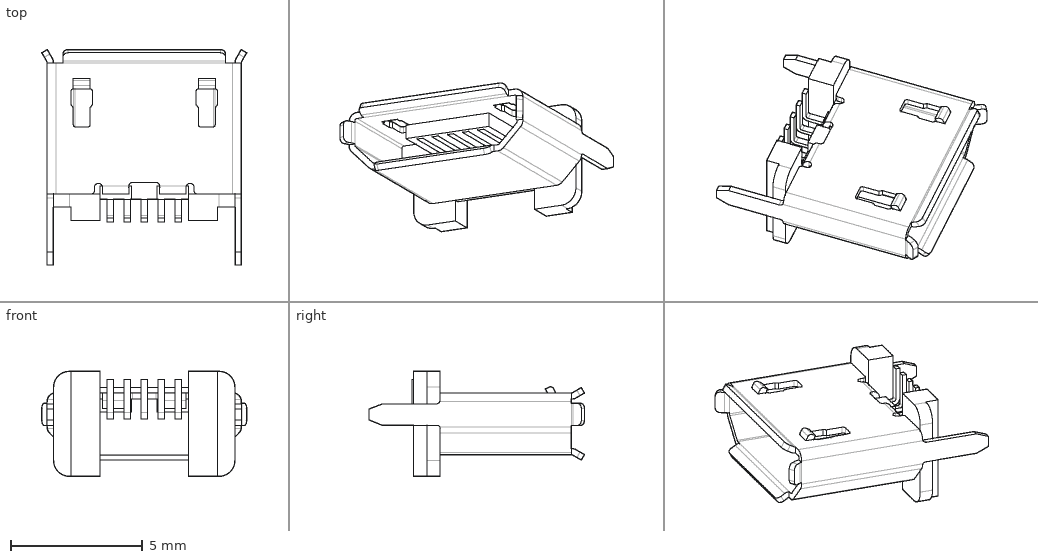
import cadquery as cq
import math


OVERALL_LENGTH = 8.2

WALL = 0.25
SHELL_HALF_WIDTH = 3.7
SHELL_LENGTH = 4.985
SHELL_TOP = 1.18
SHELL_BOTTOM = -1.18
SLOPE_START = -0.255
BEND_OUTER = 0.34
BEND_INNER = BEND_OUTER - WALL
INNER_TOP = SHELL_TOP - WALL
INNER_HALF_WIDTH = SHELL_HALF_WIDTH - WALL

LIP_ANGLE = math.radians(30)
LIP_BEND = 0.12
LIP_RUN = 0.37
LIP_REACH = (LIP_BEND + WALL) * math.sin(LIP_ANGLE) + LIP_RUN * math.cos(LIP_ANGLE)
LIP_CORNER = 0.2
TOP_LIP_WIDTH = 6.18
BOTTOM_LIP_WIDTH = 4.92
SIDE_LIP_WIDTH = 0.85
SIDE_LIP_HEIGHT = 0.36

LEG_END = SHELL_LENGTH + LIP_REACH - OVERALL_LENGTH
LEG_TAPER_START = -2.21
LEG_TOP = 0.755
LEG_BOTTOM = -0.06
LEG_TIP_TOP = 0.565
LEG_TIP_BOTTOM = 0.15
LEG_FILLET_TOP = 0.16
LEG_FILLET_BOTTOM = 0.115

WINDOW_CENTER = 2.38
WINDOW_WIDTH = 0.65
WINDOW_WIDE_WIDTH = 0.8
WINDOW_REAR = 2.54
WINDOW_STEP_REAR = 3.28
WINDOW_STEP_FRONT = 3.39
WINDOW_FRONT = 3.985
WINDOW_CORNER = 0.1
WINDOW_STEP_CORNER = 0.065
SPRING_ROOT = 4.395
SPRING_RISE = (4.305, 1.35)
SPRING_CREST = (4.215, 1.41)
SPRING_FALL = (4.12, 1.385)
SPRING_TIP = (3.99, 1.33)
SPRING_HEEL = (4.07, 1.18)
SPRING_FOOT_Y = 4.18

NOTCH_HALF_WIDTH = 0.58
NOTCH_DEPTH = 0.435
NOTCH_CORNER = 0.13
TAB_OUTER = 1.59
TAB_BEND = 0.295
TAB_END = 0.57
RELIEF_WIDTH = 0.3
RELIEF_DEPTH = 0.4
RELIEF_FLARE = 0.115

EAR_HALF_HEIGHT = 2.0
EAR_DEPTH = 0.51
EAR_CORNER = 0.61
POST_INNER = 1.68
POST_OUTER = 2.79
POST_DEPTH = 1.02
REAR_FACE = -0.21
BLOCK_FRONT = 1.0
POCKET_INNER = 0.48
POCKET_FLOOR = 0.44
TONGUE_HALF_WIDTH = 1.76
TONGUE_FRONT = 4.02
TONGUE_TOP = 0.71

PIN_COUNT = 5
PIN_PITCH = 0.65
PIN_WIDTH = 0.255
PIN_THICKNESS = 0.16
PIN_BEND_INNER = 0.08
PIN_BOTTOM = 0.18
PIN_TOP = 1.69
PIN_REAR = -1.075
PIN_FRONT = 3.77


def box(x_min, x_max, y_min, y_max, z_min, z_max):
    """Box given by its limits along each axis."""
    size = (x_max - x_min, y_max - y_min, z_max - z_min)
    return cq.Workplane().box(*size, centered=False).translate((x_min, y_min, z_min))


def both_sides(body):
    """The body together with its mirror image in X."""
    return body.union(body.mirror("YZ"))


def d_prism(inset, corner, y_min, y_max):
    """Prism with the D-shaped connector section, moved inward by the inset."""
    foot = SHELL_HALF_WIDTH - (SLOPE_START - SHELL_BOTTOM)
    points = [
        (-SHELL_HALF_WIDTH, SHELL_TOP),
        (SHELL_HALF_WIDTH, SHELL_TOP),
        (SHELL_HALF_WIDTH, SLOPE_START),
        (foot, SHELL_BOTTOM),
        (-foot, SHELL_BOTTOM),
        (-SHELL_HALF_WIDTH, SLOPE_START),
    ]
    outline = cq.Workplane("XZ", origin=(0, y_max, 0)).polyline(points).close()
    if inset:
        outline = outline.offset2D(-inset, "intersection")
    return outline.extrude(y_max - y_min).edges("|Y").fillet(corner)


def shell_tube(y_min, y_max):
    """Length of D-shaped tube."""
    return d_prism(0, BEND_OUTER, y_min, y_max).cut(d_prism(WALL, BEND_INNER, y_min, y_max))


def lip(width, turn, x, z):
    """Flared lip whose outer face starts at (x, z), turned about Y from the upward pose."""
    run_y = LIP_RUN * math.cos(LIP_ANGLE)
    run_z = LIP_RUN * math.sin(LIP_ANGLE)
    thick_y = WALL * math.sin(LIP_ANGLE)
    thick_z = WALL * math.cos(LIP_ANGLE)
    bend_y = LIP_BEND * math.sin(LIP_ANGLE)
    bend_z = LIP_BEND * (1 - math.cos(LIP_ANGLE))
    plate = (
        cq.Workplane("YZ", origin=(-width / 2, 0, 0))
        .radiusArc((bend_y, bend_z), -LIP_BEND)
        .line(run_y, run_z)
        .line(thick_y, -thick_z)
        .line(-run_y, -run_z)
        .radiusArc((0, -WALL), LIP_BEND + WALL)
        .close()
        .extrude(width)
    )
    tip_edges = cq.selectors.ParallelDirSelector(cq.Vector(0, thick_y, -thick_z))
    plate = plate.edges(tip_edges).fillet(LIP_CORNER)
    return plate.rotate((0, 0, 0), (0, 1, 0), turn).translate((x, SHELL_LENGTH, z))


def legs():
    """Two tapered legs with filleted roots, following the curve of the shell sides."""
    outline = (
        cq.Workplane("YZ", origin=(-SHELL_HALF_WIDTH, 0, 0))
        .moveTo(0, LEG_TOP + LEG_FILLET_TOP)
        .radiusArc((-LEG_FILLET_TOP, LEG_TOP), LEG_FILLET_TOP)
        .lineTo(LEG_TAPER_START, LEG_TOP)
        .lineTo(LEG_END, LEG_TIP_TOP)
        .lineTo(LEG_END, LEG_TIP_BOTTOM)
        .lineTo(LEG_TAPER_START, LEG_BOTTOM)
        .lineTo(-LEG_FILLET_BOTTOM, LEG_BOTTOM)
        .radiusArc((0, LEG_BOTTOM - LEG_FILLET_BOTTOM), LEG_FILLET_BOTTOM)
        .close()
    )
    tube_walls = shell_tube(LEG_END, 0).intersect(outline.extrude(2 * SHELL_HALF_WIDTH))
    ear_space = box(-INNER_HALF_WIDTH, INNER_HALF_WIDTH, LEG_END, 0, SHELL_BOTTOM, SHELL_TOP)
    return tube_walls.cut(ear_space)


def window():
    """Opening left in the shell top by one spring."""
    wide = WINDOW_WIDE_WIDTH / 2
    narrow = WINDOW_WIDTH / 2
    plane = cq.Workplane("XY", origin=(WINDOW_CENTER, 0, INNER_TOP))
    points = [
        (-narrow, WINDOW_STEP_REAR),
        (-wide, WINDOW_STEP_FRONT),
        (-wide, WINDOW_FRONT),
        (wide, WINDOW_FRONT),
        (wide, WINDOW_STEP_FRONT),
        (narrow, WINDOW_STEP_REAR),
    ]
    wide_part = plane.polyline(points).close().extrude(WALL)
    wide_part = wide_part.edges("|Z and >Y").fillet(WINDOW_STEP_CORNER)
    length = SPRING_ROOT - WINDOW_REAR
    narrow_part = plane.center(0, WINDOW_REAR + length / 2).rect(WINDOW_WIDTH, length).extrude(WALL)
    return wide_part.union(narrow_part.edges("|Z and <Y").fillet(WINDOW_CORNER))


def spring():
    """Stub of the spring, curling up out of the front end of its window."""
    return (
        cq.Workplane("YZ", origin=(WINDOW_CENTER - WINDOW_WIDTH / 2, 0, 0))
        .moveTo(SPRING_ROOT, INNER_TOP)
        .lineTo(SPRING_ROOT, SHELL_TOP)
        .lineTo(*SPRING_RISE)
        .threePointArc(SPRING_CREST, SPRING_FALL)
        .lineTo(*SPRING_TIP)
        .lineTo(*SPRING_HEEL)
        .lineTo(SPRING_FOOT_Y, INNER_TOP)
        .close()
        .extrude(WINDOW_WIDTH)
    )


def rear_relief():
    """Round-ended slot beside a bent tab, flared at the rear edge."""
    x_min = TAB_OUTER
    x_max = TAB_OUTER + RELIEF_WIDTH
    radius = RELIEF_WIDTH / 2
    return (
        cq.Workplane("XY", origin=(0, 0, INNER_TOP))
        .moveTo(x_min, 0)
        .lineTo(x_min, RELIEF_DEPTH - radius)
        .threePointArc((x_min + radius, RELIEF_DEPTH), (x_max, RELIEF_DEPTH - radius))
        .lineTo(x_max, RELIEF_FLARE)
        .radiusArc((x_max + RELIEF_FLARE, 0), -RELIEF_FLARE)
        .close()
        .extrude(WALL)
    )


def bent_tab():
    """Tab at the rear of the shell top, bent down behind the housing pocket."""
    bend_z = SHELL_TOP - TAB_BEND
    return (
        cq.Workplane("YZ", origin=(NOTCH_HALF_WIDTH, 0, 0))
        .moveTo(TAB_BEND, SHELL_TOP)
        .radiusArc((0, bend_z), -TAB_BEND)
        .lineTo(0, TAB_END)
        .lineTo(WALL, TAB_END)
        .lineTo(WALL, bend_z)
        .radiusArc((TAB_BEND, INNER_TOP), TAB_BEND - WALL)
        .close()
        .extrude(TAB_OUTER - NOTCH_HALF_WIDTH)
    )


def make_shell():
    """Bent sheet-metal shell with lips, legs, springs and rear tabs."""
    body = shell_tube(0, SHELL_LENGTH).union(legs())
    body = body.union(lip(TOP_LIP_WIDTH, 0, 0, SHELL_TOP))
    body = body.union(lip(BOTTOM_LIP_WIDTH, 180, 0, SHELL_BOTTOM))
    body = body.union(both_sides(lip(SIDE_LIP_WIDTH, 90, SHELL_HALF_WIDTH, SIDE_LIP_HEIGHT)))

    body = body.cut(both_sides(window())).union(both_sides(spring()))

    notch = box(-NOTCH_HALF_WIDTH, NOTCH_HALF_WIDTH, 0, NOTCH_DEPTH, INNER_TOP, SHELL_TOP)
    body = body.cut(notch.edges("|Z and >Y").fillet(NOTCH_CORNER))
    bend_zone = box(NOTCH_HALF_WIDTH, TAB_OUTER, 0, TAB_BEND, INNER_TOP, SHELL_TOP)
    body = body.cut(both_sides(bend_zone)).cut(both_sides(rear_relief()))
    return body.union(both_sides(bent_tab()))


def make_pin(x):
    """L-shaped contact pin: a run along the tongue and a leg bent upward at the rear."""
    bend_outer = PIN_BEND_INNER + PIN_THICKNESS
    leg_front = PIN_REAR + PIN_THICKNESS
    run_top = PIN_BOTTOM + PIN_THICKNESS
    return (
        cq.Workplane("YZ", origin=(x - PIN_WIDTH / 2, 0, 0))
        .moveTo(PIN_FRONT, PIN_BOTTOM)
        .lineTo(PIN_REAR + bend_outer, PIN_BOTTOM)
        .radiusArc((PIN_REAR, PIN_BOTTOM + bend_outer), bend_outer)
        .lineTo(PIN_REAR, PIN_TOP)
        .lineTo(leg_front, PIN_TOP)
        .lineTo(leg_front, run_top + PIN_BEND_INNER)
        .radiusArc((leg_front + PIN_BEND_INNER, run_top), -PIN_BEND_INNER)
        .lineTo(PIN_FRONT, run_top)
        .close()
        .extrude(PIN_WIDTH)
    )


def make_housing(pins):
    """Plastic housing: rear block, tongue, ears and posts, with grooves for the pins."""
    body = d_prism(WALL, BEND_INNER, 0, BLOCK_FRONT)
    body = body.union(box(-POST_INNER, POST_INNER, REAR_FACE, 0, SHELL_BOTTOM, INNER_TOP))
    body = body.union(
        box(-TONGUE_HALF_WIDTH, TONGUE_HALF_WIDTH, 0, TONGUE_FRONT, PIN_BOTTOM, TONGUE_TOP)
    )
    ear = box(POST_INNER, INNER_HALF_WIDTH, -EAR_DEPTH, 0, -EAR_HALF_HEIGHT, EAR_HALF_HEIGHT)
    ear = ear.edges("|Y and >X").fillet(EAR_CORNER)
    post = box(POST_INNER, POST_OUTER, -POST_DEPTH, 0, -EAR_HALF_HEIGHT, EAR_HALF_HEIGHT)
    body = body.union(both_sides(ear.union(post)))

    pocket = box(POCKET_INNER, POST_INNER, REAR_FACE, TAB_BEND, POCKET_FLOOR, INNER_TOP)
    body = body.cut(both_sides(pocket))
    for pin in pins:
        body = body.cut(pin)
    return body


pins = []
for index in range(PIN_COUNT):
    pins.append(make_pin((index - (PIN_COUNT - 1) / 2) * PIN_PITCH))
shell = make_shell()
housing = make_housing(pins)

result = cq.Compound.makeCompound([shell.solids().val(), housing.solids().val(), *[pin.val() for pin in pins]])